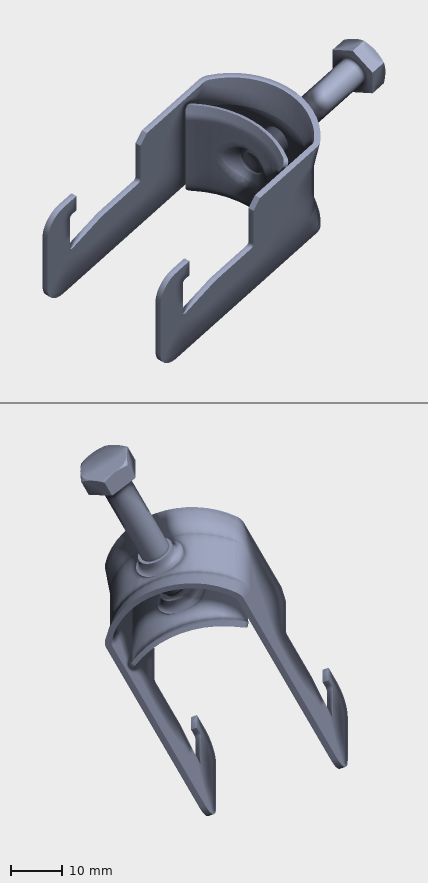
import cadquery as cq
import math


clamp_width = 29.52
clamp_height = 24.0
sheet = 1.25
crown_half_height = 6.0
crown_radius = 17.3
crown_top_y = 56.0
crown_bend_start_y = 45.75
rim_radius = 17.3
rim_top_y = 58.0
rim_bend_start_y = 48.7

leg_top = clamp_height / 2
shoulder_y = 29.0
shoulder_chamfer = 2.0
ramp_start_y = 17.0
ramp_angle = 10.0
hook_back_y = 7.0
hook_tip_y = 9.0
hook_lip = 4.0
tip_radius = 5.0
notch_fillet = 0.75

collar_radius = 3.65
collar_fillet = 1.4
clamp_collar_end_y = 58.2

bolt_radius = 3.0
bolt_end_y = 82.3
head_sides = 6
head_height = 4.0
head_across_flats = 10.0
head_chamfer_angle = 30.0
head_fillet = 0.3
shank_chamfer_start_y = 49.1
shank_chamfer = 0.6
pin_radius = bolt_radius - shank_chamfer
pin_end_y = 46.8
pin_chamfer = 0.2

plate_inner_radius = 19.0
plate_thickness = 1.0
plate_axis_y = 25.9
plate_half_angle = 38.3
plate_half_height = 12.0
plate_flare_start = 9.0
plate_flare_angle = 25.0
plate_flare_bend = 3.0
plate_corner_fillet = 1.25
plate_collar_end_y = 48.05
plate_recess_radius = 3.1
plate_recess_floor_y = 47.4
countersink_radius = 5.0
countersink_fillet = 2.6


def clamp_wire(z, radius, top_y, bend_start_y):
    """Closed U-shaped strip outline at height z, with a crown of the given outer radius."""
    half = clamp_width / 2
    center_y = top_y - radius
    rise = bend_start_y - center_y
    bend = (radius**2 - half**2 - rise**2) / (2 * (radius - half))
    bend_x = half - bend
    angle = math.atan2(rise, bend_x)

    def side(offset):
        """Points along one face of the strip, offset inwards, on the +X side."""
        small = bend - offset
        large = radius - offset
        mid = (bend_x + small * math.cos(angle / 2), bend_start_y + small * math.sin(angle / 2))
        join = (large * math.cos(angle), center_y + large * math.sin(angle))
        return (half - offset, mid, join, center_y + large)

    def mirror(point):
        return (-point[0], point[1])

    out_x, out_mid, out_join, out_top = side(0)
    in_x, in_mid, in_join, in_top = side(sheet)
    return (
        cq.Workplane("XY", origin=(0, 0, z))
        .moveTo(out_x, 0)
        .lineTo(out_x, bend_start_y)
        .threePointArc(out_mid, out_join)
        .threePointArc((0, out_top), mirror(out_join))
        .threePointArc(mirror(out_mid), (-out_x, bend_start_y))
        .lineTo(-out_x, 0)
        .lineTo(-in_x, 0)
        .lineTo(-in_x, bend_start_y)
        .threePointArc(mirror(in_mid), mirror(in_join))
        .threePointArc((0, in_top), in_join)
        .threePointArc(in_mid, (in_x, bend_start_y))
        .lineTo(in_x, 0)
        .close()
    )


def clamp_strip():
    """Upright middle band plus one flared band above and one below."""
    crown = clamp_wire(-crown_half_height, crown_radius, crown_top_y, crown_bend_start_y)
    strip = crown.extrude(2 * crown_half_height)
    for sign in (1, -1):
        edge = clamp_wire(sign * crown_half_height, crown_radius, crown_top_y, crown_bend_start_y)
        rim = clamp_wire(sign * leg_top, rim_radius, rim_top_y, rim_bend_start_y)
        flare = cq.Solid.makeLoft([edge.val(), rim.val()], True)
        strip = strip.union(cq.Workplane(flare))
    return strip


def leg_notch():
    """Cutter for the open notch that leaves a hook at the end of each leg."""
    ramp_end_z = -(ramp_start_y - hook_back_y) * math.tan(math.radians(ramp_angle))
    lip_z = leg_top - hook_lip
    notch = (
        cq.Workplane("YZ")
        .moveTo(shoulder_y + shoulder_chamfer, leg_top)
        .lineTo(shoulder_y, leg_top - shoulder_chamfer)
        .lineTo(shoulder_y, 0)
        .lineTo(ramp_start_y, 0)
        .lineTo(hook_back_y, ramp_end_z)
        .lineTo(hook_back_y, lip_z)
        .lineTo(hook_tip_y, lip_z)
        .lineTo(hook_tip_y, leg_top)
        .close()
        .extrude(clamp_width / 2, both=True)
    )
    corners = [(shoulder_y, 0), (hook_back_y, ramp_end_z), (hook_back_y, lip_z)]
    for y, z in corners:
        notch = notch.edges(cq.NearestToPointSelector((0, y, z))).fillet(notch_fillet)
    return notch


def along_y(sketch):
    """Revolve a (radius, y) outline about the bolt axis."""
    return sketch.close().revolve(360, (0, 0, 0), (0, 1, 0))


def drawn_collar(surface_y, root_y, end_y):
    """Collar with a concave root fillet that meets the sheet at surface_y."""
    flare_radius = collar_radius + collar_fillet
    bow = collar_fillet * (1 - math.sqrt(0.5))
    return along_y(
        cq.Workplane("XY")
        .moveTo(0, root_y)
        .lineTo(flare_radius, root_y)
        .lineTo(flare_radius, surface_y)
        .threePointArc((collar_radius + bow, surface_y + bow), (collar_radius, surface_y + collar_fillet))
        .lineTo(collar_radius, end_y)
        .lineTo(0, end_y)
    )


def make_clamp():
    clamp = clamp_strip().faces("<Y").edges("|X").fillet(tip_radius)
    clamp = clamp.cut(leg_notch())
    clamp = clamp.union(drawn_collar(crown_top_y, crown_top_y - sheet / 2, clamp_collar_end_y))
    bore = cq.Workplane("XZ").circle(bolt_radius).extrude(-bolt_end_y)
    return clamp.cut(bore)


def make_bolt():
    seat_y = bolt_end_y - head_height
    corner_radius = head_across_flats / math.sqrt(3)
    head = (
        cq.Workplane("XZ", origin=(0, seat_y, 0))
        .polygon(head_sides, 2 * corner_radius)
        .extrude(-head_height)
        .rotate((0, 0, 0), (0, 1, 0), 180 / head_sides)
    )
    face_radius = head_across_flats / 2
    drop = (corner_radius - face_radius) * math.tan(math.radians(head_chamfer_angle))
    rounding = along_y(
        cq.Workplane("XY")
        .moveTo(0, seat_y)
        .lineTo(corner_radius, seat_y)
        .lineTo(corner_radius, bolt_end_y - drop)
        .lineTo(face_radius, bolt_end_y)
        .lineTo(0, bolt_end_y)
    )
    neck_bow = head_fillet * (1 - math.sqrt(0.5))
    shank = along_y(
        cq.Workplane("XY")
        .moveTo(0, pin_end_y)
        .lineTo(pin_radius - pin_chamfer, pin_end_y)
        .lineTo(pin_radius, pin_end_y + pin_chamfer)
        .lineTo(pin_radius, shank_chamfer_start_y - shank_chamfer)
        .lineTo(bolt_radius, shank_chamfer_start_y)
        .lineTo(bolt_radius, seat_y - head_fillet)
        .threePointArc((bolt_radius + neck_bow, seat_y - neck_bow), (bolt_radius + head_fillet, seat_y))
        .lineTo(0, seat_y)
    )
    return head.intersect(rounding).union(shank)


def plate_blank():
    """Saddle swept about a vertical axis, flared outwards at both rims."""
    angle = math.radians(plate_flare_angle)
    bend_axis = plate_inner_radius + plate_flare_bend

    def face(bend):
        """(radius, z) of one flared face: flat end, bend middle and bend end."""
        flat_end = (bend_axis - bend, plate_flare_start)
        bend_mid = (bend_axis - bend * math.cos(angle / 2), plate_flare_start + bend * math.sin(angle / 2))
        bend_end = (bend_axis - bend * math.cos(angle), plate_flare_start + bend * math.sin(angle))
        return flat_end, bend_mid, bend_end

    in_flat, in_mid, in_bend = face(plate_flare_bend)
    out_flat, out_mid, out_bend = face(plate_flare_bend - plate_thickness)
    in_rim = (in_bend[0] + (plate_half_height - in_bend[1]) * math.tan(angle), plate_half_height)
    out_rim = (in_rim[0] + plate_thickness * math.cos(angle), in_rim[1] - plate_thickness * math.sin(angle))
    upper = (
        cq.Workplane("XZ")
        .moveTo(in_flat[0], 0)
        .lineTo(*in_flat)
        .threePointArc(in_mid, in_bend)
        .lineTo(*in_rim)
        .lineTo(*out_rim)
        .lineTo(*out_bend)
        .threePointArc(out_mid, out_flat)
        .lineTo(out_flat[0], 0)
        .close()
        .revolve(2 * plate_half_angle, (0, 0, 0), (0, -1, 0))
        .rotate((0, 0, 0), (0, 0, 1), 90 + plate_half_angle)
    )
    end_angle = math.radians(90 - plate_half_angle)
    corner_radius = (in_rim[0] + out_rim[0]) / 2
    corner_x = corner_radius * math.cos(end_angle)
    corner_y = corner_radius * math.sin(end_angle)
    corner_z = (in_rim[1] + out_rim[1]) / 2
    for x in (corner_x, -corner_x):
        corner = cq.NearestToPointSelector((x, corner_y, corner_z))
        upper = upper.edges(corner).fillet(plate_corner_fillet)
    return upper.union(upper.mirror("XY")).translate((0, plate_axis_y, 0))


def make_plate():
    inner_y = plate_axis_y + plate_inner_radius
    outer_y = inner_y + plate_thickness
    plate = plate_blank()
    plate = plate.union(drawn_collar(outer_y, outer_y - plate_thickness / 2, plate_collar_end_y))
    hole = along_y(
        cq.Workplane("XY")
        .moveTo(0, inner_y - countersink_radius)
        .lineTo(2 * countersink_radius, inner_y - countersink_radius)
        .lineTo(plate_recess_radius, inner_y + countersink_radius - plate_recess_radius)
        .lineTo(plate_recess_radius, plate_recess_floor_y)
        .lineTo(pin_radius, plate_recess_floor_y)
        .lineTo(pin_radius, plate_collar_end_y)
        .lineTo(0, plate_collar_end_y)
    )
    plate = plate.cut(hole)
    mouth = cq.NearestToPointSelector((0, inner_y, 0))
    return plate.edges(mouth).fillet(countersink_fillet)


clamp = make_clamp()
bolt = make_bolt()
plate = make_plate()

result = cq.Compound.makeCompound([*clamp.solids().vals(), *bolt.solids().vals(), *plate.solids().vals()])